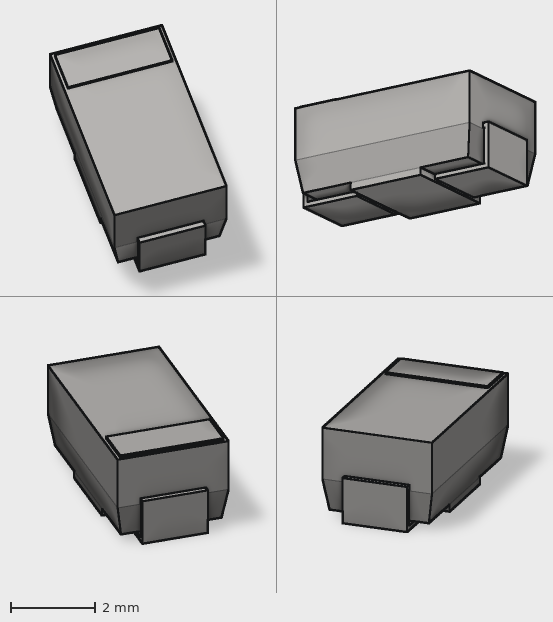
import cadquery as cq

overall_length = 5.28
overall_height = 2.34

housing_length = 4.98
housing_width = 2.79
underside_height = 0.185
parting_height = 0.99
taper_inset = 0.13
standoff_length = 2.0

band_thickness = 0.05
band_length = 1.0
band_margin = 0.095
band_width = housing_width - 2 * band_margin
housing_top = overall_height - band_thickness

lead_thickness = 0.12
lead_width = 1.64
lead_height = 1.145
foot_length = 1.525


def make_housing():
    """Straight upper half, tapered lower half and a central standoff as one solid."""
    base_length = housing_length - 2 * taper_inset
    base_width = housing_width - 2 * taper_inset
    upper = (
        cq.Workplane("XY", origin=(0, 0, parting_height))
        .rect(housing_length, housing_width)
        .extrude(housing_top - parting_height)
    )
    lower = (
        cq.Workplane("XY", origin=(0, 0, underside_height))
        .rect(base_length, base_width)
        .workplane(offset=parting_height - underside_height)
        .rect(housing_length, housing_width)
        .loft(ruled=True)
    )
    standoff = cq.Workplane("XY").rect(standoff_length, base_width).extrude(underside_height)
    return upper.union(lower).union(standoff)


def make_band():
    """Thin marking plate lying on the housing top near the -X end."""
    center_x = -housing_length / 2 + band_margin + band_length / 2
    return (
        cq.Workplane("XY", origin=(center_x, 0, housing_top))
        .rect(band_length, band_width)
        .extrude(band_thickness)
    )


def make_lead(side):
    """C-shaped lead at the -X end (side = -1) or the +X end (side = 1)."""
    outer_x = side * overall_length / 2
    inner_x = side * (overall_length / 2 - lead_thickness)
    housing_face_x = side * housing_length / 2
    toe_x = side * (overall_length / 2 - foot_length)
    profile = [
        (toe_x, 0),
        (outer_x, 0),
        (outer_x, lead_height),
        (housing_face_x, lead_height),
        (housing_face_x, lead_height - lead_thickness),
        (inner_x, lead_height - lead_thickness),
        (inner_x, lead_thickness),
        (toe_x, lead_thickness),
    ]
    return cq.Workplane("XZ").polyline(profile).close().extrude(lead_width / 2, both=True)


housing = make_housing()
band = make_band()
leads = [make_lead(side) for side in (-1, 1)]

result = cq.Compound.makeCompound([housing.val(), band.val(), *[lead.val() for lead in leads]])